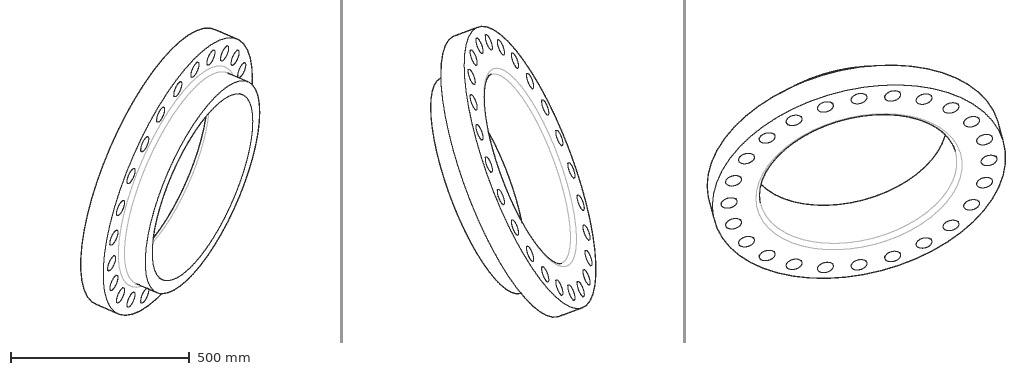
import cadquery as cq

outer_diameter = 838.0
total_length = 152.5
plate_thickness = 73.0
hub_diameter = 643.0
bore_diameter = 564.0
bore_edge_radius = 12.5
hub_root_radius = 12.5

bolt_count = 24
bolt_circle_diameter = 743.0
bolt_hole_diameter = 45.0


def disc(diameter, length):
    """Cylinder along +X, starting at X = 0."""
    return cq.Workplane("YZ").circle(diameter / 2).extrude(length)


smallest_circle = cq.selectors.RadiusNthSelector(0)

plate = disc(outer_diameter, plate_thickness)
hub = disc(hub_diameter, total_length)
body = plate.union(hub)
plate_back = body.faces("%PLANE").faces(">X[-2]")
body = plate_back.edges(smallest_circle).fillet(hub_root_radius)

body = body.cut(disc(bore_diameter, total_length))
body = body.faces("<X").edges(smallest_circle).fillet(bore_edge_radius)

bolt_holes = (
    cq.Workplane("YZ")
    .polarArray(bolt_circle_diameter / 2, 0, 360, bolt_count)
    .circle(bolt_hole_diameter / 2)
    .extrude(plate_thickness)
)

result = body.cut(bolt_holes)